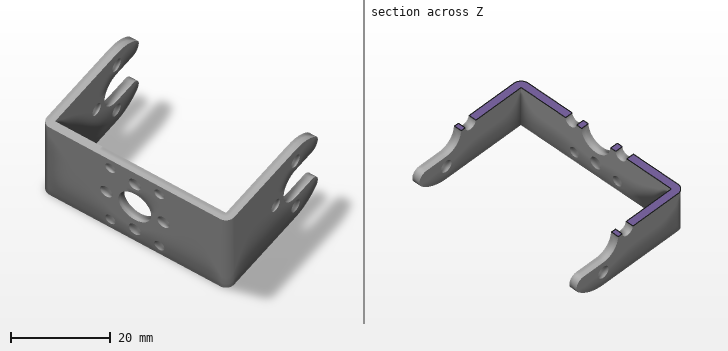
import cadquery as cq
import math


width = 45.9
height = 21.0
thickness = 2.0
bend_radius = thickness

pivot_y = 23.55
slot_radius = 4.25
fork_radius = height / 2
tip_radius = 2.0

screw_diameter = 3.0
screw_circle_radius = 7.0
web_bore_diameter = 8.0
corner_hole_diameter = 2.5
corner_hole_spacing_x = 12.0
corner_hole_spacing_z = 16.0


def make_channel():
    """U channel, longer than the finished arms, with rounded outer bends."""
    length = pivot_y + fork_radius
    block = (
        cq.Workplane("XY")
        .box(width, length, height, centered=(True, False, True))
        .edges("|Z and <Y")
        .fillet(bend_radius)
    )
    cavity = (
        cq.Workplane("XY")
        .box(width - 2 * thickness, length, height, centered=(True, False, True))
        .translate((0, thickness, 0))
    )
    return block.cut(cavity)


def make_arm_envelope():
    """Side outline of the bracket in YZ, extruded across the full width."""
    tip_center_z = slot_radius + tip_radius
    center_distance = fork_radius - tip_radius
    tip_offset_y = math.sqrt(center_distance**2 - tip_center_z**2)
    tip_center_y = pivot_y + tip_offset_y

    tip_angle = math.atan2(tip_center_z, tip_offset_y)
    arc_end_y = pivot_y + fork_radius * math.cos(tip_angle)
    arc_end_z = fork_radius * math.sin(tip_angle)

    arc_mid_angle = (tip_angle + math.pi / 2) / 2
    arc_mid_y = pivot_y + fork_radius * math.cos(arc_mid_angle)
    arc_mid_z = fork_radius * math.sin(arc_mid_angle)

    tip_mid_angle = (tip_angle - math.pi / 2) / 2
    tip_mid_y = tip_center_y + tip_radius * math.cos(tip_mid_angle)
    tip_mid_z = tip_center_z + tip_radius * math.sin(tip_mid_angle)

    return (
        cq.Workplane("YZ")
        .moveTo(0, -fork_radius)
        .lineTo(0, fork_radius)
        .lineTo(pivot_y, fork_radius)
        .threePointArc((arc_mid_y, arc_mid_z), (arc_end_y, arc_end_z))
        .threePointArc((tip_mid_y, tip_mid_z), (tip_center_y, slot_radius))
        .lineTo(pivot_y, slot_radius)
        .threePointArc((pivot_y - slot_radius, 0), (pivot_y, -slot_radius))
        .lineTo(tip_center_y, -slot_radius)
        .threePointArc((tip_mid_y, -tip_mid_z), (arc_end_y, -arc_end_z))
        .threePointArc((arc_mid_y, -arc_mid_z), (pivot_y, -fork_radius))
        .close()
        .extrude(width / 2, both=True)
    )


def make_arm_holes():
    """Three screw holes around the pivot, through both arms."""
    centers = [
        (pivot_y, screw_circle_radius),
        (pivot_y, -screw_circle_radius),
        (pivot_y - screw_circle_radius, 0),
    ]
    return (
        cq.Workplane("YZ")
        .pushPoints(centers)
        .circle(screw_diameter / 2)
        .extrude(width / 2, both=True)
    )


def make_web_holes():
    """Central bore, four screw holes around it and four corner holes, through the web."""
    web = cq.Workplane("XZ")
    bore = web.circle(web_bore_diameter / 2).extrude(-thickness)
    screws = (
        web.polarArray(screw_circle_radius, 0, 360, 4)
        .circle(screw_diameter / 2)
        .extrude(-thickness)
    )
    corners = (
        web.rarray(corner_hole_spacing_x, corner_hole_spacing_z, 2, 2)
        .circle(corner_hole_diameter / 2)
        .extrude(-thickness)
    )
    return bore.add(screws).add(corners).combine()


bracket = make_channel().intersect(make_arm_envelope())
result = bracket.cut(make_arm_holes()).cut(make_web_holes())